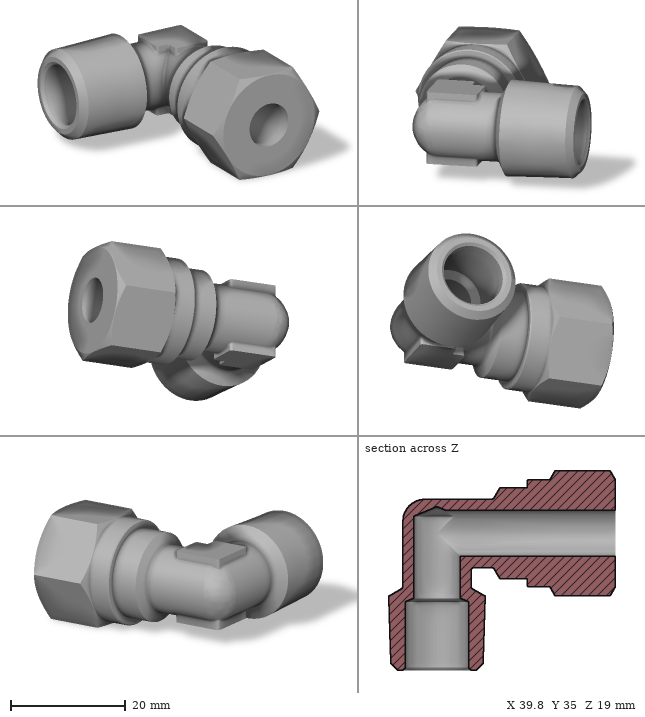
import cadquery as cq
import math


pipe_radius = 6.03
outer_bend_radius = 4.0
inner_bend_radius = 0.4
neck_fillet = 0.5
shoulder_slope = math.radians(30)

thread_end = 24.0
thread_length = 13.0
thread_large_radius = 8.5
thread_taper = 1 / 32
thread_chamfer = 1.2

coupling_radius = 8.0
coupling_start = 11.0
collar_radius = 9.4
collar_start = 15.8
collar_chamfer = 0.2
nut_start = 19.75
nut_end = 31.27
nut_flats = 19.0
nut_face_radius = 9.4
nut_chamfer_slope = math.radians(30)

pad_height = 6.5
pad_back = 3.35
pad_front = 5.75
pad_corner_radius = 0.5
pad_notch_radius = 0.3
pad_base_fillet = 0.4

bore_radius = 4.0
counterbore_radius = 5.5
counterbore_depth = 12.0
mouth_radius = 6.0
mouth_chamfer = mouth_radius - counterbore_radius
drill_tip_slope = math.radians(22.5)
drill_tip_depth = 4.63

thread_start = thread_end - thread_length
thread_shoulder_start = thread_start - (thread_large_radius - pipe_radius) * math.tan(shoulder_slope)
coupling_shoulder_start = coupling_start - (coupling_radius - pipe_radius) * math.tan(shoulder_slope)

margin = 0.1


def revolve_x(profile):
    """Revolve (distance toward +X, radius) points about the X axis."""
    return cq.Workplane("XY").polyline(profile).close().revolve(360, (0, 0, 0), (1, 0, 0))


def revolve_y(profile):
    """Revolve (distance toward -Y, radius) points about the Y axis."""
    points = [(radius, -distance) for distance, radius in profile]
    return cq.Workplane("XY").polyline(points).close().revolve(360, (0, 0, 0), (0, 1, 0))


def box_between(x_range, y_range, z_range):
    """Selector for everything centred inside the given ranges."""
    corners = list(zip(x_range, y_range, z_range))
    return cq.selectors.BoxSelector(corners[0], corners[1])


def make_pipe_bend():
    """Round pipe with a mitred right-angle corner, ending at the two shoulders."""
    path_points = [(0, -thread_shoulder_start), (0, 0), (coupling_shoulder_start, 0)]
    path = cq.Workplane("XY").polyline(path_points)
    start = cq.Workplane("XZ", origin=(0, -thread_shoulder_start, 0))
    return start.circle(pipe_radius).sweep(path, transition="right")


def make_pad_block():
    """L-shaped block through the bend; its two ends are the wrench pads."""
    outline = [
        (-pad_back, pad_back),
        (pad_front, pad_back),
        (pad_front, -pad_back),
        (pad_back, -pad_back),
        (pad_back, -pad_front),
        (-pad_back, -pad_front),
    ]
    block = cq.Workplane("XY").polyline(outline).close().extrude(pad_height, both=True)
    notch = box_between(
        (pad_back - margin, pad_back + margin),
        (-pad_back - margin, -pad_back + margin),
        (-pad_height, pad_height),
    )
    vertical = cq.StringSyntaxSelector("|Z")
    return block.edges(vertical - notch).fillet(pad_corner_radius).edges(notch).fillet(pad_notch_radius)


def make_elbow():
    """Bend with wrench pads, rounded along the mitre and around the pad bases."""
    elbow = make_pipe_bend().union(make_pad_block())

    reach = pipe_radius + margin
    mitre_near = pad_back - margin
    mid_height = (-pipe_radius / 2, pipe_radius / 2)
    inner_mitre = box_between((mitre_near, reach), (-reach, -mitre_near), mid_height)
    outer_mitre = box_between((-reach, -mitre_near), (mitre_near, reach), mid_height)
    elbow = elbow.edges(outer_mitre).fillet(outer_bend_radius)
    elbow = elbow.edges(inner_mitre).fillet(inner_bend_radius)

    lowest = math.sqrt(pipe_radius**2 - pad_back**2) - 4 * margin
    top_base = box_between((-reach, reach), (-reach, reach), (lowest, reach))
    bottom_base = box_between((-reach, reach), (-reach, reach), (-reach, -lowest))
    pad_walls = cq.StringSyntaxSelector("|Z")
    return elbow.edges(top_base + bottom_base - pad_walls).fillet(pad_base_fillet)


def make_thread_leg():
    """Tapered thread blank with a conical shoulder and a chamfered end."""
    chamfer_start = thread_end - thread_chamfer
    chamfer_radius = thread_large_radius - thread_taper * (chamfer_start - thread_start)
    return revolve_y([
        (thread_shoulder_start, 0),
        (thread_shoulder_start, pipe_radius),
        (thread_start, thread_large_radius),
        (chamfer_start, chamfer_radius),
        (thread_end, chamfer_radius - thread_chamfer),
        (thread_end, 0),
    ])


def make_coupling_leg():
    """Stepped coupling with a conical shoulder and a collar behind the nut."""
    return revolve_x([
        (coupling_shoulder_start, 0),
        (coupling_shoulder_start, pipe_radius),
        (coupling_start, coupling_radius),
        (collar_start, coupling_radius),
        (collar_start, collar_radius - collar_chamfer),
        (collar_start + collar_chamfer, collar_radius),
        (nut_start, collar_radius),
        (nut_start, 0),
    ])


def round_necks(body):
    """Fillet the concave edges where the pipe meets the two shoulders."""
    reach = thread_end
    thread_neck = box_between(
        (-reach, reach),
        (-thread_shoulder_start - margin, -thread_shoulder_start + margin),
        (-reach, reach),
    )
    coupling_neck = box_between(
        (coupling_shoulder_start - margin, coupling_shoulder_start + margin),
        (-reach, reach),
        (-reach, reach),
    )
    return body.edges(thread_neck + coupling_neck).fillet(neck_fillet)


def make_nut():
    """Hexagonal nut with flats facing +Z and -Z and both ends chamfered."""
    corner_radius = nut_flats / math.sqrt(3)
    chamfer_length = (corner_radius - nut_face_radius) * math.tan(nut_chamfer_slope)
    hexagon = cq.Workplane("YZ", origin=(nut_start, 0, 0)).polygon(6, 2 * corner_radius)
    envelope = revolve_x([
        (nut_start, 0),
        (nut_start, nut_face_radius),
        (nut_start + chamfer_length, corner_radius),
        (nut_end - chamfer_length, corner_radius),
        (nut_end, nut_face_radius),
        (nut_end, 0),
    ])
    return hexagon.extrude(nut_end - nut_start).intersect(envelope)


def make_thread_bore():
    """Stepped drilled hole from the thread end to a conical tip past the nut-leg axis."""
    tip_length = bore_radius * math.tan(drill_tip_slope)
    step_length = (counterbore_radius - bore_radius) * math.tan(drill_tip_slope)
    counterbore_floor = thread_end - counterbore_depth
    return revolve_y([
        (-drill_tip_depth, 0),
        (tip_length - drill_tip_depth, bore_radius),
        (counterbore_floor - step_length, bore_radius),
        (counterbore_floor, counterbore_radius),
        (thread_end - mouth_chamfer, counterbore_radius),
        (thread_end, mouth_radius),
        (thread_end, 0),
    ])


def make_nut_bore():
    """Straight hole from the nut face into the thread bore."""
    return cq.Workplane("YZ").circle(bore_radius).extrude(nut_end)


body = make_elbow().union(make_thread_leg()).union(make_coupling_leg())
body = round_necks(body).union(make_nut())
result = body.cut(make_thread_bore()).cut(make_nut_bore())